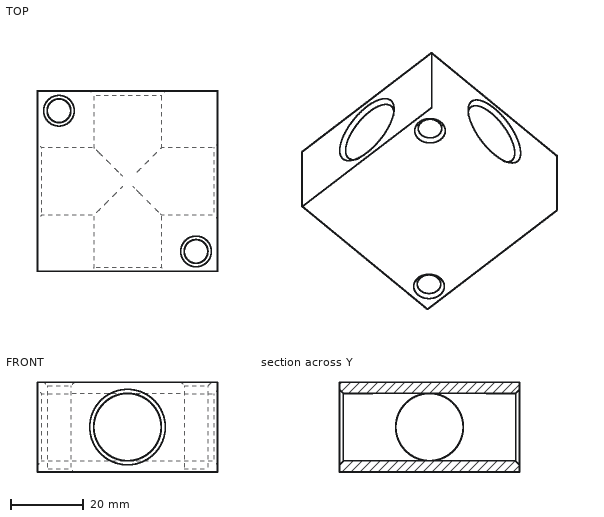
import cadquery as cq

side = 50.0
height = 25.0
edge_radius = 0.3

bore_diameter = 18.65
bore_mouth_diameter = 20.95

mount_diameter = 6.5
mount_mouth_diameter = 8.5
mount_x = 19.0
mount_y = 19.5


def countersunk_bore(diameter, mouth_diameter, length):
    """Cutter along Z, centred on the origin, with a 45 degree flare at both ends."""
    radius = diameter / 2
    mouth_radius = mouth_diameter / 2
    flare = mouth_radius - radius
    half = length / 2
    profile = (
        cq.Workplane("XZ")
        .moveTo(0, -half)
        .lineTo(mouth_radius, -half)
        .lineTo(radius, -half + flare)
        .lineTo(radius, half - flare)
        .lineTo(mouth_radius, half)
        .lineTo(0, half)
        .close()
    )
    return profile.revolve(360, (0, 0, 0), (0, 1, 0))


block = cq.Workplane("XY").box(side, side, height).edges("|Y").fillet(edge_radius)

bore = countersunk_bore(bore_diameter, bore_mouth_diameter, side)
bore_along_x = bore.rotate((0, 0, 0), (0, 1, 0), 90)
bore_along_y = bore.rotate((0, 0, 0), (1, 0, 0), 90)
result = block.cut(bore_along_x).cut(bore_along_y)

mount_hole = countersunk_bore(mount_diameter, mount_mouth_diameter, height)
for x, y in [(-mount_x, mount_y), (mount_x, -mount_y)]:
    result = result.cut(mount_hole.translate((x, y, 0)))